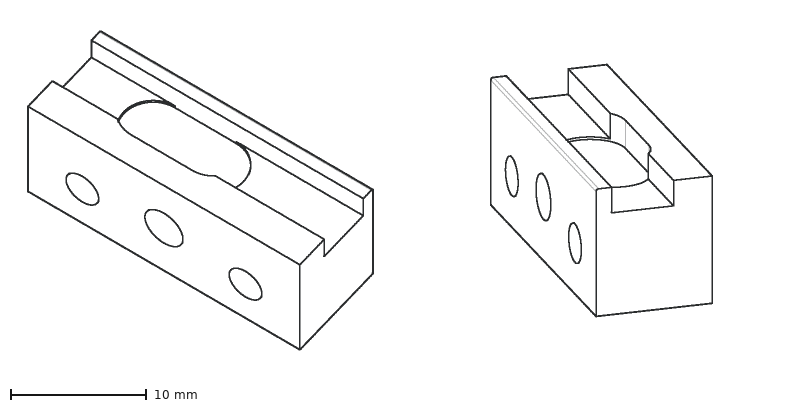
import cadquery as cq

length = 25
depth = 9
height = 10
back_edge_radius = 0.2

back_wall = 1.2
front_wall = 3
channel_depth = 2
channel_width = depth - front_wall - back_wall
channel_floor = height - channel_depth

pocket_start = 5
pocket_length = 11
pocket_width = 5.4
pocket_below_channel = 0.2
pocket_floor = channel_floor - pocket_below_channel
pocket_x = pocket_start + pocket_length / 2
pocket_y = depth - back_wall - pocket_width / 2

center_hole_diameter = 3.5
center_hole_z = height / 2
side_hole_diameter = 3
side_hole_z = 4
side_hole_spacing = 15


def cross_hole(x, z, diameter):
    """Cylinder along Y that spans the depth of the block."""
    axis_start = cq.Vector(x, 0, z)
    return cq.Workplane(cq.Solid.makeCylinder(diameter / 2, depth, axis_start, cq.Vector(0, 1, 0)))


block = cq.Workplane("XY").box(length, depth, height, centered=False)
block = block.edges(">Y and >Z").fillet(back_edge_radius)

channel = (
    cq.Workplane("XY")
    .box(length, channel_width, channel_depth, centered=False)
    .translate((0, front_wall, channel_floor))
)

pocket = (
    cq.Workplane("XY", origin=(pocket_x, pocket_y, pocket_floor))
    .slot2D(pocket_length, pocket_width)
    .extrude(height - pocket_floor)
)

result = block.cut(channel).cut(pocket)
result = result.cut(cross_hole(length / 2, center_hole_z, center_hole_diameter))
for side in (-1, 1):
    side_hole_x = length / 2 + side * side_hole_spacing / 2
    result = result.cut(cross_hole(side_hole_x, side_hole_z, side_hole_diameter))